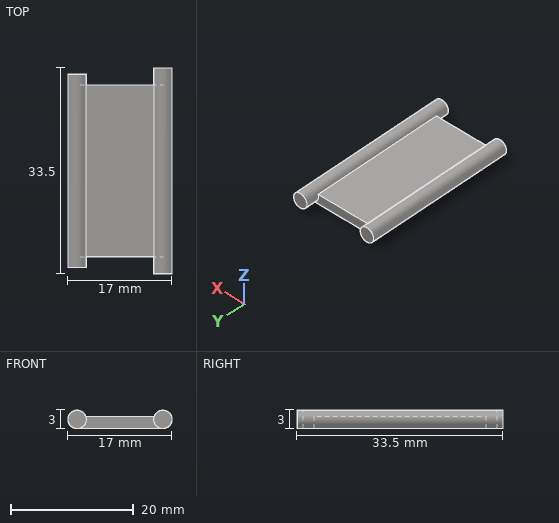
import cadquery as cq

overall_width = 17.0
rod_diameter = 3.0
long_rod_length = 33.5
short_rod_length = 31.5
plate_length = 28.0
plate_thickness = 2.0

rod_radius = rod_diameter / 2
rod_spacing = overall_width - rod_diameter


def rod(x, length):
    """Round rod along Y, centred on Y = 0, with its axis at the given X."""
    return cq.Workplane("XZ").center(x, 0).circle(rod_radius).extrude(length / 2, both=True)


plate = (
    cq.Workplane("XY")
    .workplane(offset=-rod_radius)
    .rect(rod_spacing, plate_length)
    .extrude(plate_thickness)
)

short_rod = rod(-rod_spacing / 2, short_rod_length)
long_rod = rod(rod_spacing / 2, long_rod_length)

result = plate.union(short_rod).union(long_rod)